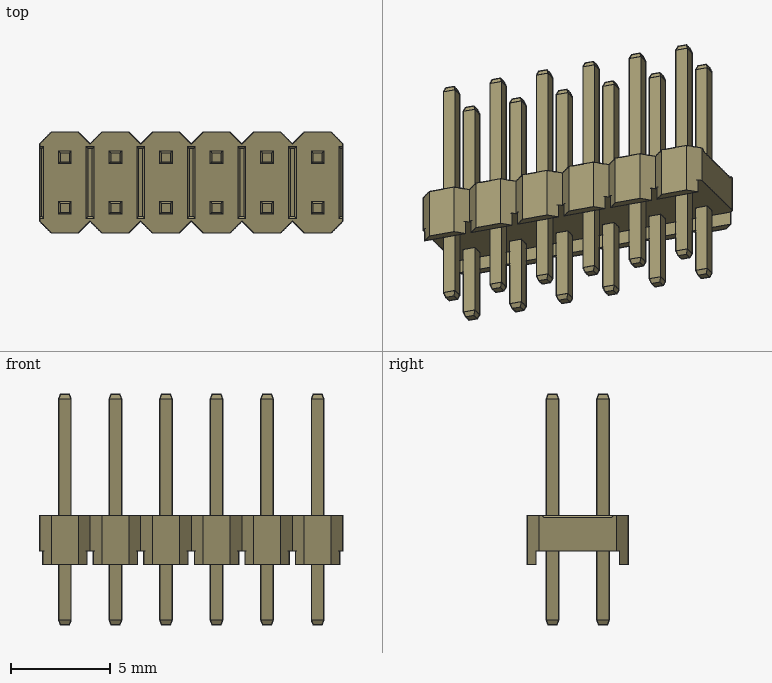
import cadquery as cq


columns = 6
rows = 2
housing_length = 15.24
pitch = housing_length / columns
housing_width = rows * pitch

housing_height = 2.47
corner_cut = 0.6
foot_height = 0.67
foot_thickness = 0.44

groove_length = 3.6
groove_width = 0.4
groove_depth = 0.099

pin_size = pitch / 4
pin_above = 6.1
pin_below = 3.03
tip_height = 0.25
tip_inset = 0.09


def make_column(center_x):
    """One octagonal segment of the housing."""
    return (
        cq.Workplane("XY", origin=(center_x, 0, -housing_height))
        .rect(pitch, housing_width)
        .extrude(housing_height)
        .edges("|Z")
        .chamfer(corner_cut)
    )


def make_channel():
    """Channel along the underside that leaves a row of feet on each side."""
    return cq.Workplane("XY", origin=(0, 0, -housing_height)).box(
        housing_length,
        housing_width - 2 * foot_thickness,
        foot_height,
        centered=(True, True, False),
    )


def make_groove(center_x):
    """Shallow groove that narrows towards its floor."""
    return (
        cq.Workplane("XY", origin=(center_x, 0, 0))
        .rect(groove_width, groove_length)
        .workplane(offset=-groove_depth)
        .rect(groove_width - 2 * groove_depth, groove_length - 2 * groove_depth)
        .loft(ruled=True)
    )


def make_pin(center_x, center_y):
    """Square pin through the housing with tapered tips at both ends."""
    shank_bottom = -housing_height - pin_below + tip_height
    shank_top = pin_above - tip_height
    tip_size = pin_size - 2 * tip_inset
    shank = (
        cq.Workplane("XY", origin=(center_x, center_y, shank_bottom))
        .rect(pin_size, pin_size)
        .extrude(shank_top - shank_bottom)
    )
    for base_z, height in ((shank_top, tip_height), (shank_bottom, -tip_height)):
        tip = (
            cq.Workplane("XY", origin=(center_x, center_y, base_z))
            .rect(pin_size, pin_size)
            .workplane(offset=height)
            .rect(tip_size, tip_size)
            .loft(ruled=True)
        )
        shank = shank.union(tip)
    return shank


def grid_positions(count):
    """Centers of equal steps of one pitch, symmetric about zero."""
    return [(index - (count - 1) / 2) * pitch for index in range(count)]


column_centers = grid_positions(columns)
row_centers = grid_positions(rows)
column_borders = grid_positions(columns + 1)

housing = make_column(column_centers[0])
for x in column_centers[1:]:
    housing = housing.union(make_column(x))
housing = housing.cut(make_channel())

for x in column_borders:
    housing = housing.cut(make_groove(x))

result = housing
for x in column_centers:
    for y in row_centers:
        result = result.union(make_pin(x, y))